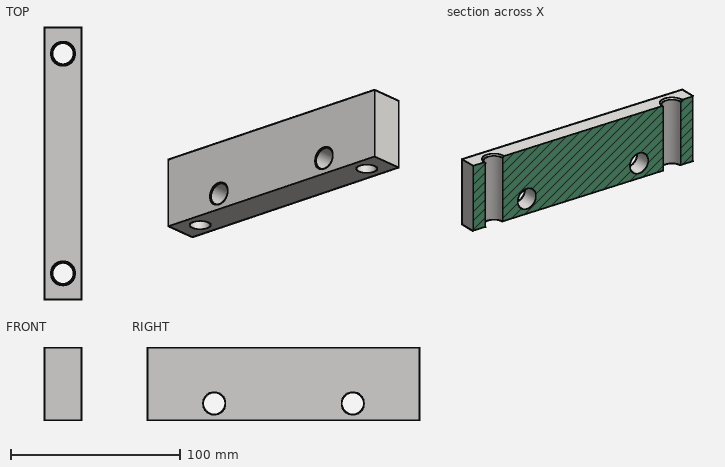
import cadquery as cq

WIDTH = 22.0
LENGTH = 161.0
HEIGHT = 43.0

END_HOLE_DIAMETER = 12.376
END_HOLE_CHAMFER = 1.0
END_HOLE_SPACING = 130.0

CROSS_HOLE_DIAMETER = 13.0
CROSS_HOLE_CHAMFER = 0.5
CROSS_HOLE_SPACING = 82.0
CROSS_HOLE_HEIGHT = 10.0

CHAMFER_CONE_ANGLE = 90.0


def drill(bar, face, centres, diameter, chamfer):
    """Drill through holes from a face, with a chamfer at each hole mouth.

    Centres are measured from the middle of the face.
    """
    mouth_diameter = diameter + 2 * chamfer
    return (
        bar.faces(face)
        .workplane(centerOption="CenterOfBoundBox")
        .pushPoints(centres)
        .cskHole(diameter, mouth_diameter, CHAMFER_CONE_ANGLE)
    )


def drill_end_holes(bar):
    centres = [(0, side * END_HOLE_SPACING / 2) for side in (-1, 1)]
    return drill(bar, ">Z", centres, END_HOLE_DIAMETER, END_HOLE_CHAMFER)


def drill_cross_holes(bar):
    axis_z = CROSS_HOLE_HEIGHT - HEIGHT / 2
    centres = [(side * CROSS_HOLE_SPACING / 2, axis_z) for side in (-1, 1)]
    return drill(bar, "<X", centres, CROSS_HOLE_DIAMETER, CROSS_HOLE_CHAMFER)


bar = cq.Workplane("XY").box(WIDTH, LENGTH, HEIGHT)
bar = drill_end_holes(bar)
result = drill_cross_holes(bar)